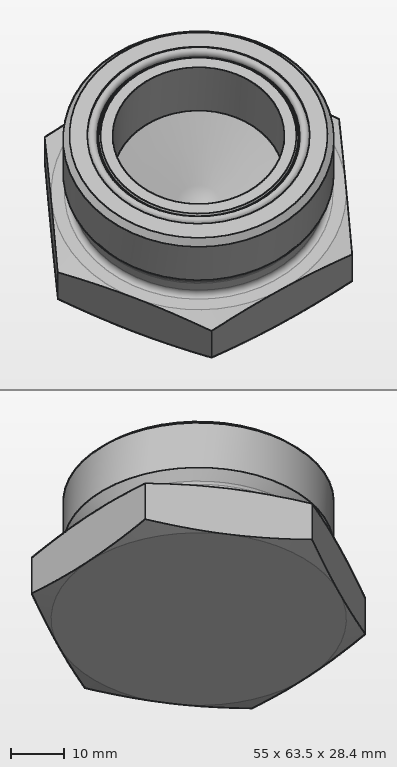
import cadquery as cq
import math

head_sides = 6
across_flats = 55.0
head_height = 10.5
head_bevel_angle = math.radians(15)

shank_radius = 50.47 / 2
shank_top = 28.0
shank_chamfer = 1.2
shank_flank_start = 16.55
flank_angle = math.radians(30)

undercut_radius = 47.65 / 2
undercut_fillet = 1.2

bore_radius = 32.0 / 2
bore_wall_bottom = 14.5
drill_point_angle = math.radians(118)

land_top = 27.85
land_rim_radius = 36.47 / 2
land_chamfer = 0.35

groove_outer_radius = 41.45 / 2
ring_section_radius = 0.92
ring_top = 28.41
groove_inner_radius = land_rim_radius + land_chamfer
ring_mean_radius = groove_outer_radius - ring_section_radius
groove_floor = ring_top - 2 * ring_section_radius


def make_head():
    """Hexagon with corners along Y, its corners bevelled at both ends by a turned envelope."""
    corner_radius = across_flats / 2 / math.cos(math.pi / head_sides)
    flat_radius = across_flats / 2
    bevel_drop = (corner_radius - flat_radius) * math.tan(head_bevel_angle)
    hexagon = (
        cq.Workplane("XY")
        .polygon(head_sides, 2 * corner_radius)
        .extrude(head_height)
        .rotate((0, 0, 0), (0, 0, 1), 180 / head_sides)
    )
    envelope = (
        cq.Workplane("XZ")
        .moveTo(0, 0)
        .lineTo(flat_radius, 0)
        .lineTo(corner_radius, bevel_drop)
        .lineTo(corner_radius, head_height - bevel_drop)
        .lineTo(flat_radius, head_height)
        .lineTo(0, head_height)
        .close()
        .revolve(360, (0, 0, 0), (0, 1, 0))
    )
    return hexagon.intersect(envelope)


def make_shank():
    """Turned shank with a chamfered end and a filleted undercut above the head."""
    flank_height = (shank_radius - undercut_radius) / math.tan(flank_angle)
    flank_foot = shank_flank_start - flank_height
    tangent_length = undercut_fillet * math.tan(flank_angle / 2)
    flank_end = (
        undercut_radius + tangent_length * math.sin(flank_angle),
        flank_foot + tangent_length * math.cos(flank_angle),
    )
    return (
        cq.Workplane("XZ")
        .moveTo(0, 0)
        .lineTo(0, shank_top)
        .lineTo(shank_radius - shank_chamfer, shank_top)
        .lineTo(shank_radius, shank_top - shank_chamfer)
        .lineTo(shank_radius, shank_flank_start)
        .lineTo(*flank_end)
        .tangentArcPoint((undercut_radius, flank_foot - tangent_length), relative=False)
        .lineTo(undercut_radius, head_height + undercut_fillet)
        .tangentArcPoint((undercut_radius + undercut_fillet, head_height), relative=False)
        .lineTo(undercut_radius + undercut_fillet, 0)
        .close()
        .revolve(360, (0, 0, 0), (0, 1, 0))
    )


def make_bore():
    """Cutter for the blind bore and its conical floor."""
    point_depth = bore_radius / math.tan(drill_point_angle / 2)
    return (
        cq.Workplane("XZ")
        .moveTo(0, shank_top)
        .lineTo(bore_radius, shank_top)
        .lineTo(bore_radius, bore_wall_bottom)
        .lineTo(0, bore_wall_bottom - point_depth)
        .close()
        .revolve(360, (0, 0, 0), (0, 1, 0))
    )


def make_groove_and_land():
    """Cutter for the groove, lowering the land inside it and chamfering the land's outer rim."""
    return (
        cq.Workplane("XZ")
        .moveTo(groove_outer_radius, shank_top)
        .lineTo(groove_outer_radius, groove_floor)
        .lineTo(groove_inner_radius, groove_floor)
        .lineTo(groove_inner_radius, land_top - land_chamfer)
        .lineTo(land_rim_radius, land_top)
        .lineTo(0, land_top)
        .lineTo(0, shank_top)
        .close()
        .revolve(360, (0, 0, 0), (0, 1, 0))
    )


def make_plug():
    """Screw plug: hexagon head and shank in one piece, bored and grooved."""
    return make_head().union(make_shank()).cut(make_bore()).cut(make_groove_and_land())


def make_o_ring():
    """Round-section sealing ring touching the floor and outer wall of its groove."""
    return (
        cq.Workplane("XZ")
        .center(ring_mean_radius, ring_top - ring_section_radius)
        .circle(ring_section_radius)
        .revolve(360, (-ring_mean_radius, 0, 0), (-ring_mean_radius, 1, 0))
    )


plug = make_plug()
o_ring = make_o_ring()

result = cq.Compound.makeCompound([plug.val(), o_ring.val()])